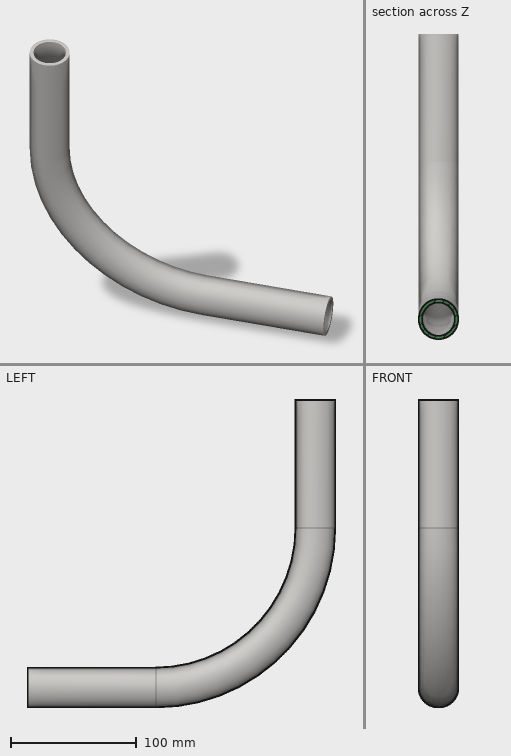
import cadquery as cq
import math

overall_size = 244.5
outer_diameter = 31.8
inner_diameter = 25.7
bend_radius = 127.0
leg_length = overall_size - outer_diameter / 2 - bend_radius

leg_end = bend_radius + leg_length
bend_middle = bend_radius * (1 - math.sqrt(0.5))
centreline = (
    cq.Workplane("YZ")
    .moveTo(0, leg_end)
    .lineTo(0, bend_radius)
    .threePointArc((bend_middle, bend_middle), (bend_radius, 0))
    .lineTo(leg_end, 0)
)

result = (
    cq.Workplane("XY")
    .workplane(offset=leg_end)
    .circle(outer_diameter / 2)
    .circle(inner_diameter / 2)
    .sweep(centreline)
)